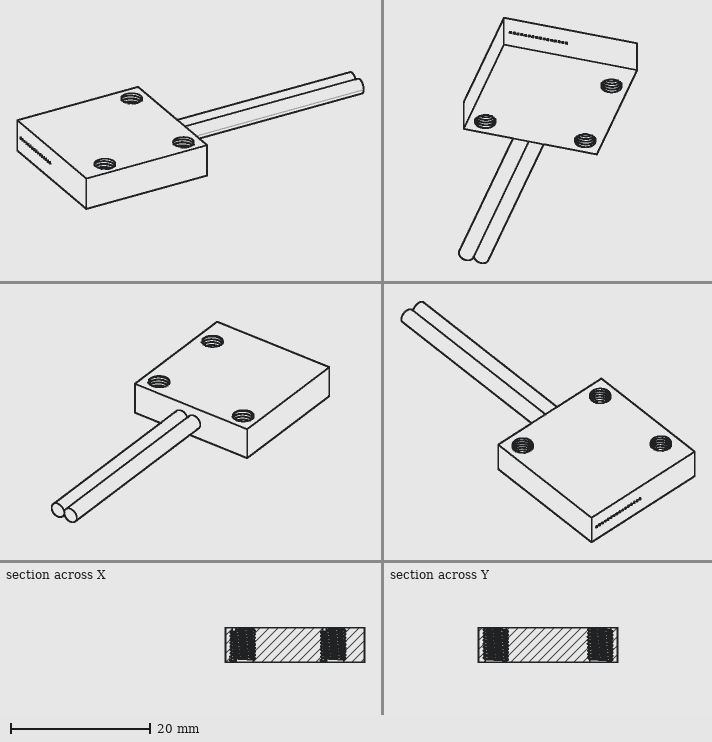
import cadquery as cq
block_side = 20.0
block_height = 5.0
half_side = block_side / 2

cable_length = 30.0
cable_diameter = 2.25
cable_pair_x = 0.6

hole_diameter = 3.0
hole_x = 7.5
hole_back_y = 7.5
hole_front_y = -5.5
hole_centers = [(-hole_x, hole_back_y), (hole_x, hole_back_y), (hole_x, hole_front_y)]
thread_pitch = 0.5
thread_depth = 0.3
thread_width = 0.45
thread_overlap = 0.025
thread_end_angle = 40.0
thread_turns = 9

bore_count = 16
bore_diameter = 0.265
bore_row_length = 8.4
bore_pitch = bore_row_length / (bore_count - 1)
bore_depth = 1.0
first_bore_x = -9.0


def make_cable(x):
    overlap = 0.5
    return (
        cq.Workplane("XZ", origin=(x, half_side - overlap, 0))
        .circle(cable_diameter / 2)
        .extrude(-(cable_length + overlap))
    )


def make_thread_turn():
    """One turn of the V groove, as ruled faces between three helices and two flat caps."""
    radius = hole_diameter / 2
    base_half_width = thread_width / 2 * (thread_depth + thread_overlap) / thread_depth
    corners = [
        (radius - thread_overlap, -base_half_width),
        (radius + thread_depth, 0),
        (radius - thread_overlap, base_half_width),
    ]
    helices = [cq.Wire.makeHelix(thread_pitch, thread_pitch, r, center=cq.Vector(0, 0, z)) for r, z in corners]
    flanks = [cq.Face.makeRuledSurface(helices[i - 1], helices[i]) for i in range(len(helices))]
    starts = [helix.startPoint() for helix in helices]
    stops = [helix.endPoint() for helix in helices]
    caps = [cq.Face.makeFromWires(cq.Wire.makePolygon(points, close=True)) for points in (starts, stops)]
    turn = cq.Solid.makeSolid(cq.Shell.makeShell(flanks + caps)).fix()
    return turn.rotate(cq.Vector(0, 0, 0), cq.Vector(0, 0, 1), thread_end_angle)


def make_threaded_block():
    """Square block with through bores, each grooved turn by turn to just short of both mouths."""
    block = cq.Workplane("XY").box(block_side, block_side, block_height)
    block = block.pushPoints(hole_centers).circle(hole_diameter / 2).cutThruAll()
    turn = make_thread_turn()
    for x, y in hole_centers:
        for i in range(thread_turns):
            turn_z = (i - thread_turns / 2) * thread_pitch
            placed_turn = turn.translate(cq.Vector(x, y, turn_z))
            block = block.cut(cq.Workplane(obj=placed_turn), clean=False)
    return block


def make_bore_row_cutter():
    centers = [(first_bore_x + i * bore_pitch, 0) for i in range(bore_count)]
    return (
        cq.Workplane("XZ", origin=(0, -half_side, 0))
        .pushPoints(centers)
        .circle(bore_diameter / 2)
        .extrude(-bore_depth)
    )


result = make_threaded_block()
for side in (-1, 1):
    result = result.union(make_cable(cable_pair_x + side * cable_diameter / 2), clean=False)
result = result.cut(make_bore_row_cutter(), clean=False)